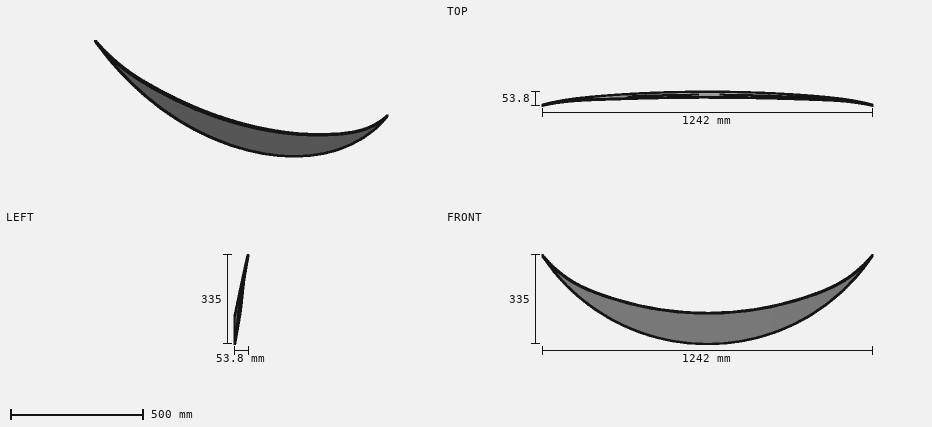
import cadquery as cq
import math

half_span = 621.0
tip_height = 335.0
mid_height = 118.0
tip_blade_height = 4.0
tip_setback = 50.0

upper_middle_radius = 1180.0
upper_arc_joint = 447.0

lower_edge_thickness = 3.1
front_lean = 0.17
back_round_share = 0.5
front_bevel = 3.1
bevel_height_share = 0.25
rim_angle = math.radians(15)

section_distances = [124.0, 248.0, 373.0, 447.0, 509.0, 559.0, 596.0, half_span]


def radius_through(half_chord, rise):
    """Radius of the arc with the given half chord and rise."""
    return (half_chord**2 + rise**2) / (2 * rise)


def arc_rise(radius, distance):
    """Height of an arc above its lowest point."""
    return radius - math.sqrt(radius**2 - distance**2)


lower_radius = radius_through(half_span, tip_height - tip_blade_height)

joint_angle = math.asin(upper_arc_joint / upper_middle_radius)
joint_rise = arc_rise(upper_middle_radius, upper_arc_joint)
end_run = half_span - upper_arc_joint
end_rise = tip_height - mid_height - joint_rise
turn_to_chord = math.atan2(end_rise, end_run) - joint_angle
upper_end_radius = math.hypot(end_run, end_rise) / (2 * math.sin(turn_to_chord))
end_center_distance = upper_arc_joint - upper_end_radius * math.sin(joint_angle)
end_center_rise = joint_rise + upper_end_radius * math.cos(joint_angle)


def upper_rise(distance):
    """Rise of the upper edge above its mid-span height."""
    if distance <= upper_arc_joint:
        return arc_rise(upper_middle_radius, distance)
    offset = distance - end_center_distance
    return end_center_rise - math.sqrt(upper_end_radius**2 - offset**2)


def blade_section(x):
    """Closed wedge section of the blade in the plane at x."""
    distance = abs(x)
    rise = upper_rise(distance)
    top = mid_height + rise
    bottom = arc_rise(lower_radius, distance)
    back = -tip_setback * rise / (tip_height - mid_height)
    top_thickness = lower_edge_thickness + front_lean * (top - bottom)
    round_depth = back_round_share * top_thickness
    bevel = min(front_bevel, bevel_height_share * (top - bottom))
    crest = back - top_thickness + bevel
    round_start = (
        back - round_depth,
        top - (back - round_depth - crest) * math.tan(rim_angle),
    )
    round_radius = round_depth / (1 - math.sin(rim_angle))
    round_end = (back, round_start[1] - round_radius * math.cos(rim_angle))
    middle_angle = (math.pi / 2 - rim_angle) / 2
    round_middle = (
        back - round_radius * (1 - math.cos(middle_angle)),
        round_end[1] + round_radius * math.sin(middle_angle),
    )
    section = (
        cq.Workplane("YZ", origin=(x, 0, 0))
        .moveTo(back, bottom)
        .lineTo(back - lower_edge_thickness, bottom)
        .lineTo(back - top_thickness, top - bevel)
        .lineTo(crest, top)
        .lineTo(*round_start)
        .threePointArc(round_middle, round_end)
        .close()
    )
    return section.val()


stations = [-d for d in reversed(section_distances)] + [0.0] + section_distances
blade = cq.Solid.makeLoft([blade_section(x) for x in stations])

result = cq.Workplane("XY").newObject([blade])